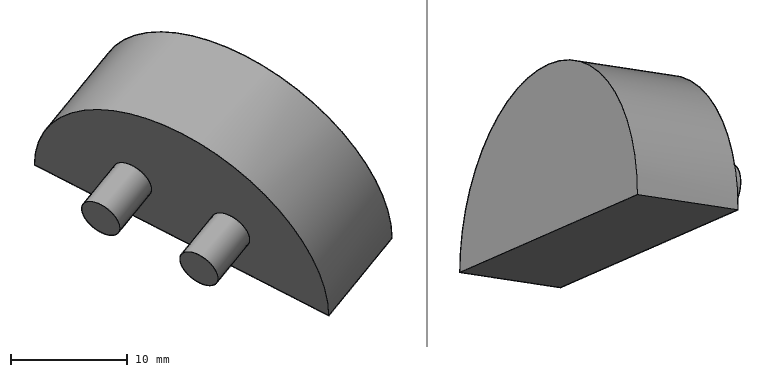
import cadquery as cq

radius = 15.0
total_depth = 15.0
body_depth = total_depth * 2 / 3

pin_diameter = 3.9
pin_length = total_depth - body_depth
pin_spacing = 2 * radius / 3
pin_height = radius / 3

body = (
    cq.Workplane("XZ")
    .moveTo(-radius, 0)
    .threePointArc((0, radius), (radius, 0))
    .close()
    .extrude(-body_depth)
)

pins = (
    cq.Workplane("XZ")
    .pushPoints([(side * pin_spacing / 2, pin_height) for side in (-1, 1)])
    .circle(pin_diameter / 2)
    .extrude(pin_length)
)

result = body.union(pins)